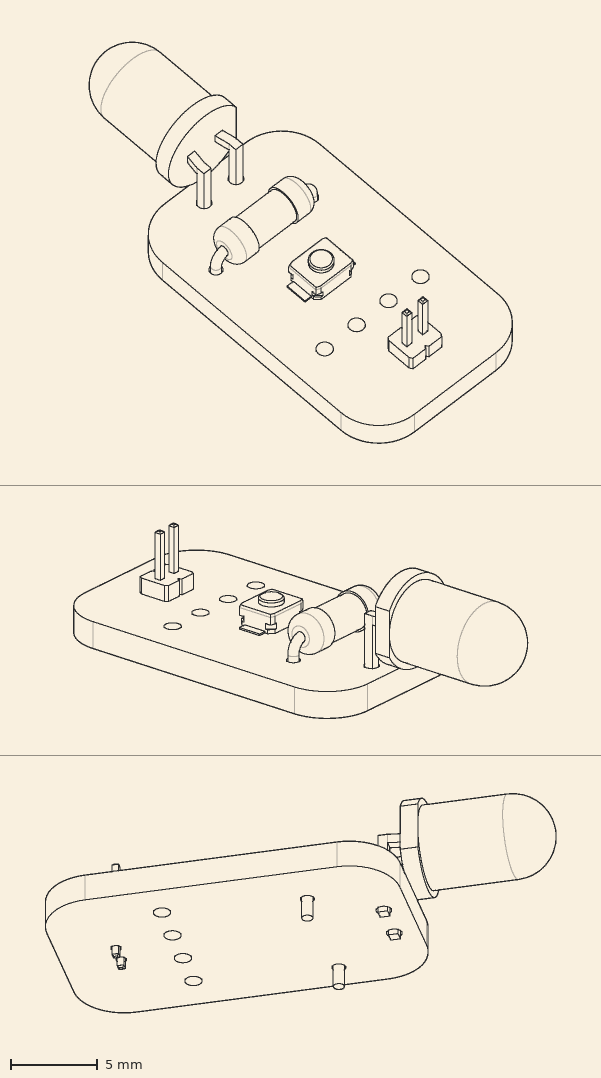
import cadquery as cq
import math

BOARD_LENGTH = 21.0
BOARD_WIDTH = 12.5
BOARD_THICKNESS = 1.7
BOARD_CORNER_RADIUS = 3.0
LEAD_PITCH = 2.54

ROW_X = 3.5
ROW_Y = 0.05
ROW_HOLE_COUNT = 4
ROW_HOLE_DIAMETER = 1.0

LED_Y = -0.25
LED_AXIS_Z = BOARD_THICKNESS + 3.0
LED_DIAMETER = 5.0
LED_FLANGE_DIAMETER = 5.8
LED_FLANGE_THICKNESS = 1.05
LED_TOTAL_LENGTH = 8.6
LED_OVERHANG = 8.37
LED_TIP_X = -BOARD_LENGTH / 2 - LED_OVERHANG
LED_BACK_X = LED_TIP_X + LED_TOTAL_LENGTH
LED_LEAD_X = -9.0
LED_LEAD_SIZE = 0.58
LED_LEAD_PITCH_AT_FLANGE = 2.2
LED_LEAD_BOTTOM_Z = -0.25
LED_HOLE_DIAMETER = 0.9

RESISTOR_X = -5.0
RESISTOR_Y = -0.55
RESISTOR_LENGTH = 6.3
RESISTOR_CAP_DIAMETER = 2.5
RESISTOR_CAP_LENGTH = 1.6
RESISTOR_CAP_FILLET = 0.6
RESISTOR_WAIST_DIAMETER = 2.25
RESISTOR_AXIS_Z = BOARD_THICKNESS + RESISTOR_CAP_DIAMETER / 2
RESISTOR_LEAD_SPAN = 3 * LEAD_PITCH
RESISTOR_LEAD_DIAMETER = 0.65
RESISTOR_LEAD_BEND_RADIUS = 0.9
RESISTOR_LEAD_BOTTOM_Z = -1.3
RESISTOR_HOLE_DIAMETER = 0.8

BUTTON_X = -0.5
BUTTON_Y = -0.25
BUTTON_WIDTH = 2.5
BUTTON_LENGTH = 3.0
BUTTON_HEIGHT = 1.25
BUTTON_COVER_CUT_X = 0.1
BUTTON_COVER_CUT_Y = 0.3
BUTTON_BEVEL_HEIGHT = 0.17
BUTTON_BEVEL_ANGLE = 15.0
BUTTON_BASE_HEIGHT = 0.25
BUTTON_BASE_CUT = 0.3
BUTTON_RECESS_TOP = 0.6
BUTTON_RECESS_CUT = 0.45
BUTTON_TAB_WIDTH = 1.5
BUTTON_TAB_SPAN = 4.0
BUTTON_TAB_THICKNESS = 0.1
PLUNGER_DIAMETER = 1.5
PLUNGER_TOP = 1.6
PLUNGER_CHAMFER = 0.1

HEADER_X = 7.0
HEADER_Y = 0.1
HEADER_PITCH = LEAD_PITCH / 2
HEADER_PIN_COUNT = 2
HEADER_WIDTH = 2.1
HEADER_HEIGHT = 1.0
HEADER_CUT_X = 0.2
HEADER_CUT_Y = 0.12
HEADER_PIN_SIZE = 0.4
HEADER_PIN_TOP_Z = BOARD_THICKNESS + 4.0
HEADER_PIN_BOTTOM_Z = -0.6
HEADER_PIN_CHAMFER = 0.1
HEADER_HOLE_DIAMETER = 0.6


def row_positions(x, y, count, pitch):
    """Points along Y, evenly spaced about (x, y)."""
    return [(x, y + (i - (count - 1) / 2) * pitch) for i in range(count)]


ROW_HOLES = row_positions(ROW_X, ROW_Y, ROW_HOLE_COUNT, LEAD_PITCH)
LED_LEADS = row_positions(LED_LEAD_X, LED_Y, 2, LEAD_PITCH)
RESISTOR_LEADS = row_positions(RESISTOR_X, RESISTOR_Y, 2, RESISTOR_LEAD_SPAN)
HEADER_PINS = row_positions(HEADER_X, HEADER_Y, HEADER_PIN_COUNT, HEADER_PITCH)


def box(size_x, size_y, z_bottom, z_top):
    """Box centred on the Z axis between two heights."""
    return cq.Workplane("XY").workplane(offset=z_bottom).rect(size_x, size_y).extrude(z_top - z_bottom)


def cut_corner_outline(size_x, size_y, cut_x, cut_y, z):
    """Closed rectangle outline at height z with its four corners cut off straight."""
    half_x = size_x / 2
    half_y = size_y / 2
    inner_x = half_x - cut_x
    inner_y = half_y - cut_y
    return (
        cq.Workplane("XY")
        .workplane(offset=z)
        .polyline([
            (half_x, -inner_y), (half_x, inner_y), (inner_x, half_y), (-inner_x, half_y),
            (-half_x, inner_y), (-half_x, -inner_y), (-inner_x, -half_y), (inner_x, -half_y),
        ])
        .close()
    )


def make_board():
    board = box(BOARD_LENGTH, BOARD_WIDTH, 0, BOARD_THICKNESS).edges("|Z").fillet(BOARD_CORNER_RADIUS)
    drillings = [
        (ROW_HOLES, ROW_HOLE_DIAMETER),
        (LED_LEADS, LED_HOLE_DIAMETER),
        (RESISTOR_LEADS, RESISTOR_HOLE_DIAMETER),
        (HEADER_PINS, HEADER_HOLE_DIAMETER),
    ]
    for points, diameter in drillings:
        holes = cq.Workplane("XY").pushPoints(points).circle(diameter / 2).extrude(BOARD_THICKNESS)
        board = board.cut(holes)
    return board


def make_led_lens():
    """Domed cylinder: half profile revolved about the lens axis."""
    radius = LED_DIAMETER / 2
    dome_end_x = LED_TIP_X + radius
    diagonal = radius * math.sqrt(0.5)
    return (
        cq.Workplane("XY")
        .moveTo(LED_TIP_X, 0)
        .threePointArc((dome_end_x - diagonal, diagonal), (dome_end_x, radius))
        .lineTo(LED_BACK_X, radius)
        .lineTo(LED_BACK_X, 0)
        .close()
        .revolve(360, (0, 0), (1, 0))
        .translate((0, LED_Y, LED_AXIS_Z))
    )


def make_led_flange():
    """Round flange with a flat on its +Y side, flush with the lens."""
    radius = LED_FLANGE_DIAMETER / 2
    flat_y = LED_DIAMETER / 2
    flat_half_height = math.sqrt(radius**2 - flat_y**2)
    return (
        cq.Workplane("YZ")
        .moveTo(flat_y, flat_half_height)
        .threePointArc((-radius, 0), (flat_y, -flat_half_height))
        .close()
        .extrude(LED_FLANGE_THICKNESS)
        .translate((LED_BACK_X - LED_FLANGE_THICKNESS, LED_Y, LED_AXIS_Z))
    )


def make_led_lead(x, y):
    """Lead that spreads outward from the flange, then turns down into the board."""
    half = LED_LEAD_SIZE / 2
    flange_y = LED_Y + math.copysign(LED_LEAD_PITCH_AT_FLANGE / 2, y - LED_Y)
    arm = (
        cq.Workplane("XY")
        .workplane(offset=LED_AXIS_Z - half)
        .polyline([
            (LED_BACK_X, flange_y - half),
            (x - half, y - half),
            (x - half, y + half),
            (LED_BACK_X, flange_y + half),
        ])
        .close()
        .extrude(LED_LEAD_SIZE)
    )
    leg = box(LED_LEAD_SIZE, LED_LEAD_SIZE, LED_LEAD_BOTTOM_Z, LED_AXIS_Z + half).translate((x, y, 0))
    return arm.union(leg)


def make_led():
    led = make_led_lens().union(make_led_flange())
    for x, y in LED_LEADS:
        led = led.union(make_led_lead(x, y))
    return led


def make_resistor_body():
    """Two rounded end caps joined by a slimmer waist."""
    half_length = RESISTOR_LENGTH / 2
    cap = (
        cq.Workplane("XZ", origin=(0, -half_length, 0))
        .circle(RESISTOR_CAP_DIAMETER / 2)
        .extrude(-RESISTOR_CAP_LENGTH)
        .faces("<Y")
        .edges()
        .fillet(RESISTOR_CAP_FILLET)
    )
    waist_length = RESISTOR_LENGTH - 2 * RESISTOR_CAP_LENGTH
    waist = cq.Workplane("XZ").circle(RESISTOR_WAIST_DIAMETER / 2).extrude(waist_length / 2, both=True)
    body = waist.union(cap).union(cap.mirror("XZ"))
    return body.translate((RESISTOR_X, RESISTOR_Y, RESISTOR_AXIS_Z))


def make_resistor_lead():
    """Wire on the +Y side: along the axis, around the bend and down through the board."""
    lead_y = RESISTOR_LEAD_SPAN / 2
    bend = RESISTOR_LEAD_BEND_RADIUS
    bend_start_y = lead_y - bend
    bend_end_z = RESISTOR_AXIS_Z - bend
    diagonal = bend * math.sqrt(0.5)
    path = (
        cq.Workplane("YZ")
        .moveTo(lead_y, RESISTOR_LEAD_BOTTOM_Z)
        .lineTo(lead_y, bend_end_z)
        .threePointArc((bend_start_y + diagonal, bend_end_z + diagonal), (bend_start_y, RESISTOR_AXIS_Z))
    )
    return (
        cq.Workplane("XY", origin=(0, lead_y, RESISTOR_LEAD_BOTTOM_Z))
        .circle(RESISTOR_LEAD_DIAMETER / 2)
        .sweep(path)
    )


def make_resistor():
    place = (RESISTOR_X, RESISTOR_Y, 0)
    lead = make_resistor_lead()
    return make_resistor_body().union(lead.translate(place)).union(lead.mirror("XZ").translate(place))


def make_button():
    """Switch case with recessed lower corners, two end tabs and a round plunger."""
    bevel_start = BUTTON_HEIGHT - BUTTON_BEVEL_HEIGHT
    base = cut_corner_outline(BUTTON_WIDTH, BUTTON_LENGTH, BUTTON_BASE_CUT, BUTTON_BASE_CUT, 0)
    base = base.extrude(BUTTON_BASE_HEIGHT)
    recess = cut_corner_outline(BUTTON_WIDTH, BUTTON_LENGTH, BUTTON_RECESS_CUT, BUTTON_RECESS_CUT, 0)
    recess = recess.extrude(BUTTON_RECESS_TOP)

    def cover_outline(z):
        return cut_corner_outline(BUTTON_WIDTH, BUTTON_LENGTH, BUTTON_COVER_CUT_X, BUTTON_COVER_CUT_Y, z)

    cover = cover_outline(BUTTON_RECESS_TOP).extrude(bevel_start - BUTTON_RECESS_TOP)
    cover = cover.union(cover_outline(bevel_start).extrude(BUTTON_BEVEL_HEIGHT, taper=BUTTON_BEVEL_ANGLE))
    tabs = box(BUTTON_TAB_WIDTH, BUTTON_TAB_SPAN, 0, BUTTON_TAB_THICKNESS)
    plunger = cq.Workplane("XY").circle(PLUNGER_DIAMETER / 2).extrude(PLUNGER_TOP)
    plunger = plunger.faces(">Z").chamfer(PLUNGER_CHAMFER)
    button = base.union(recess).union(cover).union(tabs).union(plunger)
    return button.translate((BUTTON_X, BUTTON_Y, BOARD_THICKNESS))


def make_header_cell():
    """One pin in its own corner-cut block; neighbouring blocks meet at a small V notch."""
    block = cut_corner_outline(
        HEADER_WIDTH, HEADER_PITCH, HEADER_CUT_X, HEADER_CUT_Y, BOARD_THICKNESS
    ).extrude(HEADER_HEIGHT)
    pin = box(HEADER_PIN_SIZE, HEADER_PIN_SIZE, HEADER_PIN_BOTTOM_Z, HEADER_PIN_TOP_Z)
    pin = pin.faces("<Z or >Z").chamfer(HEADER_PIN_CHAMFER)
    return block.union(pin)


def make_header():
    header = cq.Workplane("XY")
    for x, y in HEADER_PINS:
        header = header.union(make_header_cell().translate((x, y, 0)))
    return header


board = make_board()
led = make_led()
resistor = make_resistor()
button = make_button()
header = make_header()

result = cq.Compound.makeCompound([
    board.solids().val(),
    led.solids().val(),
    resistor.solids().val(),
    button.solids().val(),
    header.solids().val(),
])